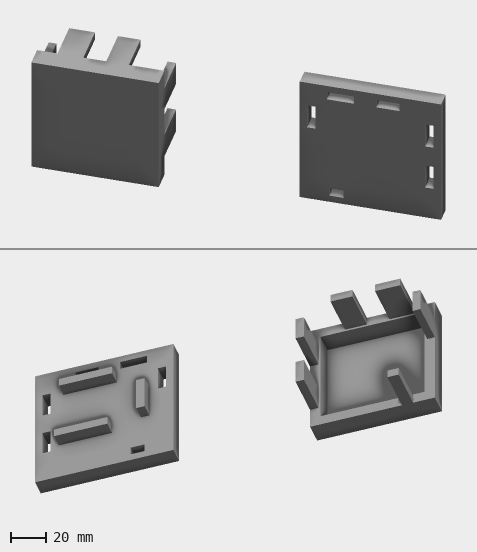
import cadquery as cq

OVERALL_LENGTH = 241.5
PEG_END_Y = 37.5

BASE_WIDTH = 75.0
BASE_HEIGHT = 73.5
BASE_DEPTH = 12.3
RIM = 6.3
FLOOR = 0.5
LEFT_PEG = 4.5
PEG = 5.0
SIDE_PEG_HEIGHT = 14.7
UPPER_PEG_Z = 46.4
LOWER_PEG_Z = 13.0
LOWER_PEG_HEIGHT = 15.2
TOP_PEGS = [(12.0, 15.2), (40.8, 13.3)]
BOTTOM_PEG_X = 13.0
BOTTOM_PEG_WIDTH = 6.8

PLATE_WIDTH = 83.3
PLATE_HEIGHT = 81.5
PLATE_DEPTH = 10.0
PLATE_X = OVERALL_LENGTH - PLATE_WIDTH
PLATE_Z = 9.2
SLOT = 5.0
SLOT_MARGIN = 4.3
SIDE_SLOT_HEIGHT = 15.5
UPPER_SLOT_Z = 50.0
LOWER_SLOT_Z = 21.0
TOP_SLOTS = [(16.0, 16.2), (45.2, 13.8)]
BOTTOM_SLOT_X = 17.5
BOTTOM_SLOT_WIDTH = 8.5

BLOCK_END_Y = 18.0
BLOCK = 5.0
BAR_LENGTH = 32.0
UPPER_BAR = (34.0, 62.0)
LOWER_BAR = (37.0, 24.2)
UPRIGHT = (14.5, 31.0)
UPRIGHT_HEIGHT = 21.5


def block(x, z, width, height, y_start, y_end):
    """Box placed by its lower left corner and its two Y limits."""
    return cq.Workplane("XY").box(width, y_end - y_start, height, centered=False).translate((x, y_start, z))


def make_base():
    base = block(0, 0, BASE_WIDTH, BASE_HEIGHT, 0, BASE_DEPTH)

    right_x = BASE_WIDTH - PEG
    pegs = [
        (0, UPPER_PEG_Z, LEFT_PEG, SIDE_PEG_HEIGHT),
        (right_x, UPPER_PEG_Z, PEG, SIDE_PEG_HEIGHT),
        (right_x, LOWER_PEG_Z, PEG, LOWER_PEG_HEIGHT),
        (BOTTOM_PEG_X, 0, BOTTOM_PEG_WIDTH, PEG),
    ]
    pegs += [(x, BASE_HEIGHT - PEG, width, PEG) for x, width in TOP_PEGS]
    for x, z, width, height in pegs:
        base = base.union(block(x, z, width, height, 0, PEG_END_Y))

    pocket = block(RIM, RIM, BASE_WIDTH - 2 * RIM, BASE_HEIGHT - 2 * RIM, FLOOR, BASE_DEPTH)
    return base.cut(pocket)


def make_plate():
    plate = block(0, 0, PLATE_WIDTH, PLATE_HEIGHT, 0, PLATE_DEPTH)

    right_x = PLATE_WIDTH - SLOT_MARGIN - SLOT
    top_z = PLATE_HEIGHT - SLOT_MARGIN - SLOT
    slots = [
        (SLOT_MARGIN, UPPER_SLOT_Z, SLOT, SIDE_SLOT_HEIGHT),
        (right_x, UPPER_SLOT_Z, SLOT, SIDE_SLOT_HEIGHT),
        (right_x, LOWER_SLOT_Z, SLOT, SIDE_SLOT_HEIGHT),
        (BOTTOM_SLOT_X, SLOT_MARGIN, BOTTOM_SLOT_WIDTH, SLOT),
    ]
    slots += [(x, top_z, width, SLOT) for x, width in TOP_SLOTS]
    for x, z, width, height in slots:
        plate = plate.cut(block(x, z, width, height, 0, PLATE_DEPTH))

    for x, z in (UPPER_BAR, LOWER_BAR):
        plate = plate.union(block(x, z, BAR_LENGTH, BLOCK, PLATE_DEPTH, BLOCK_END_Y))
    upright_x, upright_z = UPRIGHT
    plate = plate.union(block(upright_x, upright_z, BLOCK, UPRIGHT_HEIGHT, PLATE_DEPTH, BLOCK_END_Y))
    return plate.translate((PLATE_X, 0, PLATE_Z))


base = make_base()
plate = make_plate()
result = cq.Compound.makeCompound([base.val(), plate.val()])